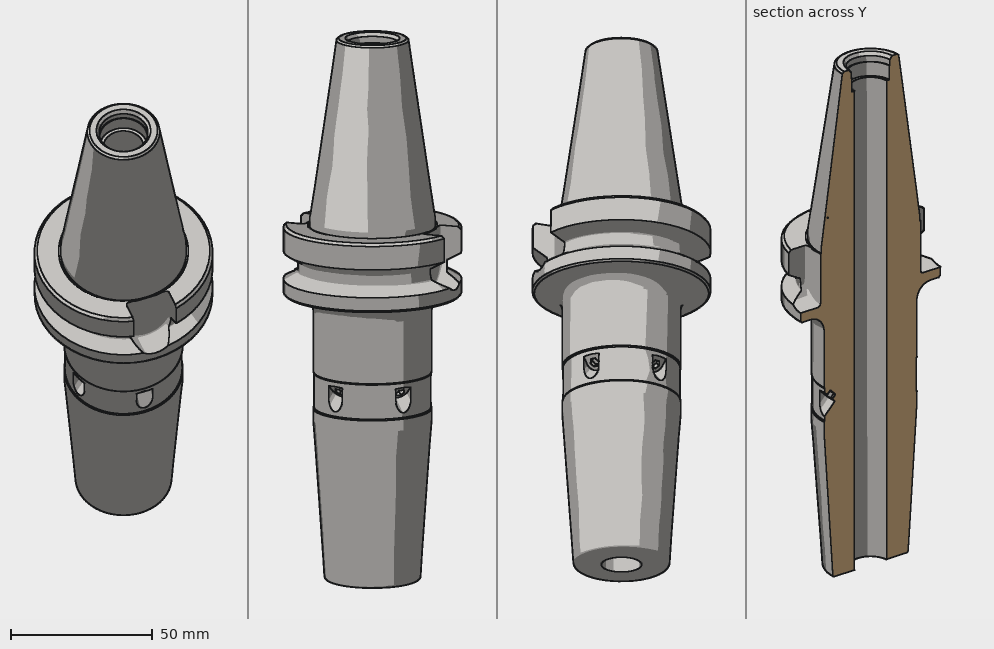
import cadquery as cq
import math


TOTAL_LENGTH = 195.4

GAUGE_RADIUS = 44.45 / 2
TAPER_LENGTH = 65.4
TAPER_SLOPE = 7 / 24 / 2
TAPER_END_CHAMFER = 0.7
TAPER_END_RADIUS = GAUGE_RADIUS - TAPER_SLOPE * TAPER_LENGTH

FLANGE_RADIUS = 63 / 2
FLANGE_TOP = -2.0
FLANGE_BOTTOM = -27.0
FLANGE_TOP_CHAMFER = 1.0
FLANGE_BOTTOM_CHAMFER = 0.7
GROOVE_CENTER = -16.5
GROOVE_RADIUS = 26.4
GROOVE_FLOOR_WIDTH = 4.2
GROOVE_FLANK_ANGLE = 30.0
GROOVE_FILLET_RADIUS = 0.6
ROOT_GROOVE_WIDTH = 0.7
ROOT_GROOVE_DEPTH = 0.5

BODY_RADIUS = 21.0
BODY_FILLET_RADIUS = 6.0
RING_TOP = -55.0
RING_BOTTOM = -68.4
RING_RELIEF = 0.3
RING_RADIUS = BODY_RADIUS - RING_RELIEF
RING_EDGE_HEIGHT = 0.5
NOSE_TOP = -72.5
NOSE_BOTTOM = TAPER_LENGTH - TOTAL_LENGTH
NOSE_END_RADIUS = 17.0
NOSE_FILLET_RADIUS = 1.0

SLOT_WIDTH = 16.1
SLOT_FLOOR_OFFSET = 22.6
SLOT_BOTTOM = -23.0
SLOT_FILLET_RADIUS = 1.1

BORE_RADIUS = 7.1
COUNTERBORE_RADIUS = 8.4
COUNTERBORE_DEPTH = 9.0
MOUTH_RADIUS = 8.65
MOUTH_DEPTH = 3.6
MOUTH_CHAMFER_RADIUS = 9.6
MOUTH_CHAMFER_DEPTH = 1.3

POCKET_COUNT = 5
POCKET_WIDTH = 6.2
POCKET_TILT = 45.0
POCKET_TOP = -57.1
POCKET_BOTTOM = -66.2
POCKET_CUT_LENGTH = 15.0
SOCKET_ACROSS_FLATS = 3.0
SOCKET_DEPTH = 2.0


def circle_at(radius, height):
    """Selector for the circular edge of one radius at one height."""
    margin = 0.05
    reach = radius + margin
    return cq.selectors.BoxSelector(
        (-reach, -reach, height - margin),
        (reach, reach, height + margin),
        boundingbox=True,
    )


def make_body():
    flank_height = (FLANGE_RADIUS - GROOVE_RADIUS) * math.tan(math.radians(GROOVE_FLANK_ANGLE))
    groove_top = GROOVE_CENTER + GROOVE_FLOOR_WIDTH / 2
    groove_bottom = GROOVE_CENTER - GROOVE_FLOOR_WIDTH / 2
    arc_end = FLANGE_BOTTOM - BODY_FILLET_RADIUS
    arc_inset = BODY_FILLET_RADIUS * (1 - math.sqrt(0.5))
    profile = (
        cq.Workplane("XZ")
        .moveTo(0, TAPER_LENGTH)
        .lineTo(TAPER_END_RADIUS - TAPER_END_CHAMFER, TAPER_LENGTH)
        .lineTo(TAPER_END_RADIUS + TAPER_SLOPE * TAPER_END_CHAMFER, TAPER_LENGTH - TAPER_END_CHAMFER)
        .lineTo(GAUGE_RADIUS, 0)
        .lineTo(GAUGE_RADIUS, FLANGE_TOP - ROOT_GROOVE_DEPTH)
        .lineTo(GAUGE_RADIUS + ROOT_GROOVE_WIDTH, FLANGE_TOP - ROOT_GROOVE_DEPTH)
        .lineTo(GAUGE_RADIUS + ROOT_GROOVE_WIDTH, FLANGE_TOP)
        .lineTo(FLANGE_RADIUS - FLANGE_TOP_CHAMFER, FLANGE_TOP)
        .lineTo(FLANGE_RADIUS, FLANGE_TOP - FLANGE_TOP_CHAMFER)
        .lineTo(FLANGE_RADIUS, groove_top + flank_height)
        .lineTo(GROOVE_RADIUS, groove_top)
        .lineTo(GROOVE_RADIUS, groove_bottom)
        .lineTo(FLANGE_RADIUS, groove_bottom - flank_height)
        .lineTo(FLANGE_RADIUS, FLANGE_BOTTOM + FLANGE_BOTTOM_CHAMFER)
        .lineTo(FLANGE_RADIUS - FLANGE_BOTTOM_CHAMFER, FLANGE_BOTTOM)
        .lineTo(BODY_RADIUS + BODY_FILLET_RADIUS, FLANGE_BOTTOM)
        .threePointArc((BODY_RADIUS + arc_inset, FLANGE_BOTTOM - arc_inset), (BODY_RADIUS, arc_end))
        .lineTo(BODY_RADIUS, RING_TOP)
        .lineTo(RING_RADIUS, RING_TOP - RING_EDGE_HEIGHT)
        .lineTo(RING_RADIUS, RING_BOTTOM + RING_EDGE_HEIGHT)
        .lineTo(BODY_RADIUS, RING_BOTTOM)
        .lineTo(BODY_RADIUS, NOSE_TOP)
        .lineTo(NOSE_END_RADIUS, NOSE_BOTTOM)
        .lineTo(0, NOSE_BOTTOM)
        .close()
    )
    body = profile.revolve(360, (0, 0, 0), (0, 1, 0))
    body = body.edges(circle_at(GROOVE_RADIUS, groove_top)).fillet(GROOVE_FILLET_RADIUS)
    body = body.edges(circle_at(GROOVE_RADIUS, groove_bottom)).fillet(GROOVE_FILLET_RADIUS)
    return body.edges(circle_at(NOSE_END_RADIUS, NOSE_BOTTOM)).fillet(NOSE_FILLET_RADIUS)


def make_bore():
    profile = (
        cq.Workplane("XZ")
        .moveTo(0, TAPER_LENGTH)
        .lineTo(MOUTH_CHAMFER_RADIUS, TAPER_LENGTH)
        .lineTo(MOUTH_RADIUS, TAPER_LENGTH - MOUTH_CHAMFER_DEPTH)
        .lineTo(MOUTH_RADIUS, TAPER_LENGTH - MOUTH_DEPTH)
        .lineTo(COUNTERBORE_RADIUS, TAPER_LENGTH - MOUTH_DEPTH)
        .lineTo(COUNTERBORE_RADIUS, TAPER_LENGTH - COUNTERBORE_DEPTH)
        .lineTo(BORE_RADIUS, TAPER_LENGTH - COUNTERBORE_DEPTH)
        .lineTo(BORE_RADIUS, NOSE_BOTTOM)
        .lineTo(0, NOSE_BOTTOM)
        .close()
    )
    return profile.revolve(360, (0, 0, 0), (0, 1, 0))


def make_drive_slot():
    """Cutter for the +X slot: open at the flange top, with a round lower end."""
    half_width = SLOT_WIDTH / 2
    round_center = SLOT_BOTTOM + half_width
    cutter = (
        cq.Workplane("YZ", origin=(SLOT_FLOOR_OFFSET, 0, 0))
        .moveTo(-half_width, FLANGE_TOP)
        .lineTo(-half_width, round_center)
        .threePointArc((0, SLOT_BOTTOM), (half_width, round_center))
        .lineTo(half_width, FLANGE_TOP)
        .close()
        .extrude(FLANGE_RADIUS)
    )
    floor_edges = cutter.faces("<X").edges("not >Z")
    return floor_edges.fillet(SLOT_FILLET_RADIUS)


def make_screw_pocket():
    """Flat-ended cutter on the +X side, leaning outward as it goes down.

    Its section is a U with a round floor, open outward. The flat end face runs from the
    inner end of the floor up to the top of the mouth, and holds a hex socket.
    """
    tilt = math.radians(POCKET_TILT)
    half_width = POCKET_WIDTH / 2
    mouth_height = POCKET_TOP - POCKET_BOTTOM
    end_face_length = mouth_height * math.sin(tilt)
    axis_from_mouth = end_face_length - half_width
    end_plane = cq.Plane(
        origin=(
            RING_RADIUS - axis_from_mouth * math.cos(tilt),
            0,
            POCKET_TOP - axis_from_mouth * math.sin(tilt),
        ),
        xDir=(0, 1, 0),
        normal=(math.sin(tilt), 0, -math.cos(tilt)),
    )
    cutter = (
        cq.Workplane(end_plane)
        .moveTo(-half_width, 0)
        .lineTo(-half_width, end_face_length)
        .lineTo(half_width, end_face_length)
        .lineTo(half_width, 0)
        .threePointArc((0, -half_width), (-half_width, 0))
        .close()
        .extrude(POCKET_CUT_LENGTH)
    )
    hex_diameter = SOCKET_ACROSS_FLATS / math.cos(math.pi / 6)
    socket = cq.Workplane(end_plane).polygon(6, hex_diameter).extrude(-SOCKET_DEPTH)
    return cutter.union(socket)


def around_axis(shape, angle):
    return shape.rotate((0, 0, 0), (0, 0, 1), angle)


result = make_body().cut(make_bore())

drive_slot = make_drive_slot()
for angle in (0, 180):
    result = result.cut(around_axis(drive_slot, angle))

screw_pocket = make_screw_pocket()
for index in range(POCKET_COUNT):
    angle = index * 360 / POCKET_COUNT
    result = result.cut(around_axis(screw_pocket, angle))